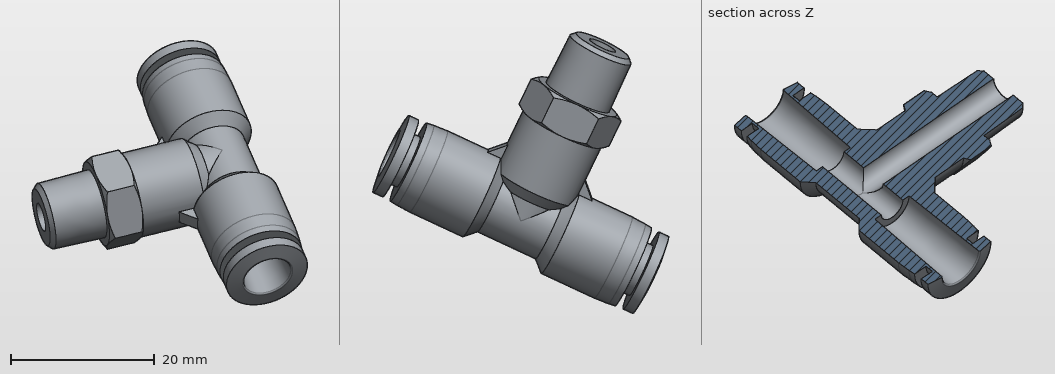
import cadquery as cq
import math

run_half_length = 20.3
core_radius = 4.75
core_half_length = 4.45
shoulder_end = 6.05
socket_radius = 6.25
taper_start = 14.2
taper_step = 16.3
taper_step_radius = 6.15
socket_end = 17.3
socket_end_radius = 6.0
neck_radius = 3.85

ring_start = 18.5
ring_radius = 5.93
ring_face_rise = 0.32

bore_diameter = 4.0
tube_bottom_radius = 3.15
tube_depth = 14.2
mouth_radius = 3.65
lip_radius = 0.2

branch_cone_start = 2.92
branch_cone_end = 4.5
hex_start = 13.48
hex_end = 18.47
branch_end = 26.5
hex_across_flats = 12.0
branch_radius = hex_across_flats / 2
hex_corner_radius = branch_radius / math.cos(math.pi / 6)
hex_chamfer = (hex_corner_radius - branch_radius) * math.tan(math.pi / 6)
thread_root_radius = 4.87
thread_tip_radius = 4.7
thread_chamfer_length = 0.65
thread_face_radius = 4.05

gusset_leg = 14.2
gusset_thickness = 2.1


def revolve_branch(points):
    """Revolve a (radius, distance) outline about the branch axis, towards -Y."""
    outline = [(radius, -distance) for radius, distance in points]
    return cq.Workplane("XY").polyline(outline).close().revolve(360, (0, 0), (0, 1))


def make_run_half():
    """Revolve one arm of the run about X."""
    outline = [
        (0, 0),
        (0, core_radius),
        (core_half_length, core_radius),
        (shoulder_end, socket_radius),
        (taper_start, socket_radius),
        (taper_step, taper_step_radius),
        (socket_end, socket_end_radius),
        (socket_end, neck_radius),
        (ring_start, neck_radius),
        (ring_start, ring_radius),
        (run_half_length - ring_face_rise, ring_radius),
        (run_half_length, mouth_radius),
        (run_half_length, 0),
    ]
    return cq.Workplane("XY").polyline(outline).close().revolve(360, (0, 0), (1, 0))


def make_tube_bore():
    """Tapered tube socket with a rounded lip, at the +X end."""
    bottom = run_half_length - tube_depth
    lip_diagonal = lip_radius * math.sqrt(0.5)
    lip_middle = (
        run_half_length - lip_radius + lip_diagonal,
        mouth_radius - lip_diagonal,
    )
    return (
        cq.Workplane("XY")
        .moveTo(bottom, 0)
        .lineTo(bottom, tube_bottom_radius)
        .lineTo(run_half_length - lip_radius, mouth_radius - lip_radius)
        .threePointArc(lip_middle, (run_half_length, mouth_radius))
        .lineTo(run_half_length, 0)
        .close()
        .revolve(360, (0, 0), (1, 0))
    )


def make_branch():
    """Round barrel and tapered male thread."""
    return revolve_branch([
        (0, 0),
        (core_radius, 0),
        (core_radius, branch_cone_start),
        (branch_radius, branch_cone_end),
        (branch_radius, hex_end),
        (thread_root_radius, hex_end),
        (thread_tip_radius, branch_end - thread_chamfer_length),
        (thread_face_radius, branch_end),
        (0, branch_end),
    ])


def make_hex():
    """Hexagon with conical 30 degree chamfers on both faces."""
    prism = (
        cq.Workplane("XZ", origin=(0, -hex_start, 0))
        .polygon(6, 2 * hex_corner_radius)
        .extrude(hex_end - hex_start)
    )
    envelope = revolve_branch([
        (0, hex_start),
        (branch_radius, hex_start),
        (hex_corner_radius, hex_start + hex_chamfer),
        (hex_corner_radius, hex_end - hex_chamfer),
        (branch_radius, hex_end),
        (0, hex_end),
    ])
    return prism.intersect(envelope)


def make_gussets():
    """One triangle whose two outer corners fill the angles of the tee."""
    return (
        cq.Workplane("XY")
        .polyline([(-gusset_leg, 0), (gusset_leg, 0), (0, -gusset_leg)])
        .close()
        .extrude(gusset_thickness / 2, both=True)
    )


run_half = make_run_half()
tube_bore = make_tube_bore()
through_bore = cq.Workplane("YZ").circle(bore_diameter / 2).extrude(run_half_length, both=True)
branch_bore = cq.Workplane("XZ").circle(bore_diameter / 2).extrude(branch_end)

result = run_half.union(run_half.mirror("YZ")).union(make_branch())
result = result.union(make_hex()).union(make_gussets())
for cutter in (through_bore, branch_bore, tube_bore, tube_bore.mirror("YZ")):
    result = result.cut(cutter)